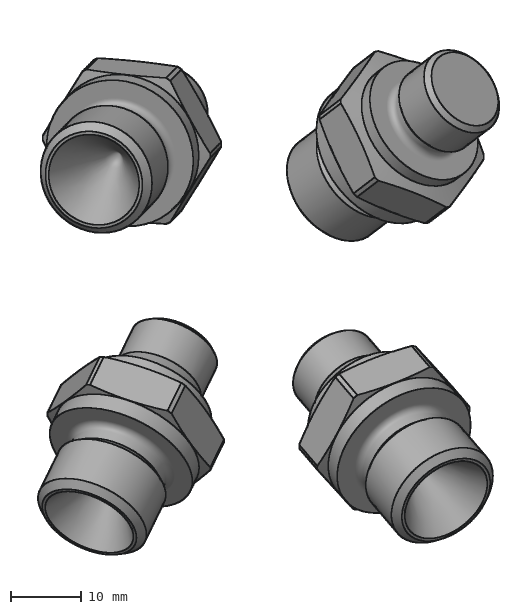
import cadquery as cq
import math

length = 33.0
front_end = -length / 2
back_end = length / 2
front_flange_start = -4.5
hex_start = -1.95
hex_end = 4.5
back_flange_end = 6.5

front_thread_radius = 16.65 / 2
front_groove_radius = 14.5 / 2
front_chamfer = 1.1
front_groove_length = 2.5
front_flange_radius = 21.9 / 2

back_thread_radius = 13.17 / 2
back_groove_radius = 11.0 / 2
back_chamfer = 0.75
back_groove_length = 2.0
back_flange_radius = 18.9 / 2

groove_round = 1.0

across_flats = 22.0
corner_radius = 25.0 / 2
hex_chamfer_angle = math.radians(15)

bore_radius = 13.53 / 2
bore_half_angle = math.radians(30)


def revolve_profile(outline):
    """Turn a closed (radius, y) outline about the Y axis."""
    return outline.close().revolve(360, (0, 0, 0), (0, 1, 0))


def threaded_end(end, flange_face, thread_radius, groove_radius, chamfer, groove_length):
    """Chamfered stud from its free end to the flange face, with an undercut at the flange."""
    inward = math.copysign(1, flange_face - end)
    groove_start = flange_face - inward * groove_length
    runout_start = groove_start - inward * (thread_radius - groove_radius)
    round_start = flange_face - inward * groove_round
    arc_offset = groove_round * (1 - math.sqrt(0.5))
    return revolve_profile(
        cq.Workplane("XY")
        .moveTo(0, end)
        .lineTo(thread_radius - chamfer, end)
        .lineTo(thread_radius, end + inward * chamfer)
        .lineTo(thread_radius, runout_start)
        .lineTo(groove_radius, groove_start)
        .lineTo(groove_radius, round_start)
        .threePointArc(
            (groove_radius + arc_offset, flange_face - inward * arc_offset),
            (groove_radius + groove_round, flange_face),
        )
        .lineTo(0, flange_face)
    )


def disc(radius, start, end):
    """Cylinder on the Y axis between two stations."""
    return cq.Workplane("XZ", origin=(0, start, 0)).circle(radius).extrude(start - end)


def hexagon():
    """Hexagon with corners on +X and -X, trimmed by a turned and chamfered envelope."""
    across_corners = across_flats / math.cos(math.pi / 6)
    prism = (
        cq.Workplane("XZ", origin=(0, hex_start, 0))
        .polygon(6, across_corners)
        .extrude(hex_start - hex_end)
    )
    slope = math.tan(hex_chamfer_angle)
    front_drop = (corner_radius - front_flange_radius) * slope
    back_drop = (corner_radius - back_flange_radius) * slope
    envelope = revolve_profile(
        cq.Workplane("XY")
        .moveTo(0, hex_start)
        .lineTo(front_flange_radius, hex_start)
        .lineTo(corner_radius, hex_start + front_drop)
        .lineTo(corner_radius, hex_end - back_drop)
        .lineTo(back_flange_radius, hex_end)
        .lineTo(0, hex_end)
    )
    return prism.intersect(envelope)


def conical_bore():
    """Cone opening at the front end and closing to a point on the axis."""
    depth = bore_radius / math.tan(bore_half_angle)
    return revolve_profile(
        cq.Workplane("XY")
        .moveTo(0, front_end)
        .lineTo(bore_radius, front_end)
        .lineTo(0, front_end + depth)
    )


front_stud = threaded_end(
    front_end, front_flange_start, front_thread_radius, front_groove_radius, front_chamfer, front_groove_length
)
back_stud = threaded_end(
    back_end, back_flange_end, back_thread_radius, back_groove_radius, back_chamfer, back_groove_length
)

result = (
    hexagon()
    .union(disc(front_flange_radius, front_flange_start, hex_start))
    .union(disc(back_flange_radius, hex_end, back_flange_end))
    .union(front_stud)
    .union(back_stud)
    .cut(conical_bore())
)